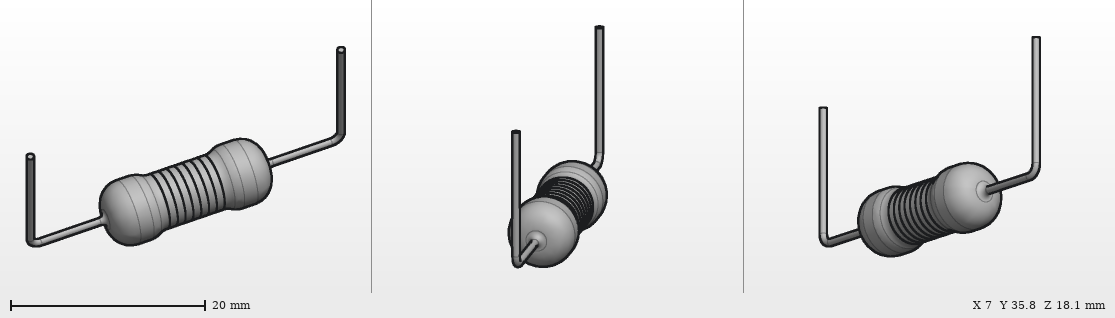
import cadquery as cq
import math

BODY_LENGTH = 18.0
CAP_DIAMETER = 7.0
CORE_DIAMETER = 5.95
CAP_END_RADIUS = 2.4
CAP_BAND_LENGTH = 1.5
SHOULDER_RADIUS = 1.9

BAND_DIAMETER = 5.97
BAND_COUNT = 4
BAND_WIDTH = 0.88
BAND_PITCH = 2 * BAND_WIDTH

LEAD_DIAMETER = 0.8
LEAD_SPAN = 35.0
LEAD_TOP = 14.6
LEAD_BEND_RADIUS = 1.15

CAP_RADIUS = CAP_DIAMETER / 2
CORE_RADIUS = CORE_DIAMETER / 2
LEAD_RADIUS = LEAD_DIAMETER / 2
BODY_END = BODY_LENGTH / 2
CAP_OUTER_EDGE = BODY_END - CAP_END_RADIUS
CAP_INNER_EDGE = CAP_OUTER_EDGE - CAP_BAND_LENGTH
LEAD_FILLET_RADIUS = CAP_RADIUS - CAP_END_RADIUS - LEAD_RADIUS
LEAD_EDGE = BODY_END + LEAD_FILLET_RADIUS

HALF_STEP = (CAP_RADIUS - CORE_RADIUS) / 2
SHOULDER_ANGLE = math.acos(1 - HALF_STEP / SHOULDER_RADIUS)
SHOULDER_HALF_LENGTH = SHOULDER_RADIUS * math.sin(SHOULDER_ANGLE)
SHOULDER_MIDDLE = CAP_INNER_EDGE - SHOULDER_HALF_LENGTH
CORE_END = SHOULDER_MIDDLE - SHOULDER_HALF_LENGTH


def make_cap():
    """Revolved +Y cap: shoulder, rounded end and the fillet onto its lead."""
    profile = (
        cq.Workplane("XY")
        .moveTo(0, CORE_END)
        .lineTo(CORE_RADIUS, CORE_END)
        .radiusArc((CORE_RADIUS + HALF_STEP, SHOULDER_MIDDLE), SHOULDER_RADIUS)
        .radiusArc((CAP_RADIUS, CAP_INNER_EDGE), -SHOULDER_RADIUS)
        .lineTo(CAP_RADIUS, CAP_OUTER_EDGE)
        .radiusArc((CAP_RADIUS - CAP_END_RADIUS, BODY_END), -CAP_END_RADIUS)
        .radiusArc((LEAD_RADIUS, LEAD_EDGE), LEAD_FILLET_RADIUS)
        .lineTo(0, LEAD_EDGE)
        .close()
    )
    return profile.revolve(360, (0, 0, 0), (0, 1, 0))


def make_core():
    """Slim cylinder joining the two caps."""
    start = cq.Workplane("XZ", origin=(0, CORE_END, 0))
    return start.circle(CORE_RADIUS).extrude(2 * CORE_END)


def make_band(center_y):
    """Slightly raised colour band around the core."""
    start = cq.Workplane("XZ", origin=(0, center_y + BAND_WIDTH / 2, 0))
    return start.circle(BAND_DIAMETER / 2).extrude(BAND_WIDTH)


def make_lead():
    """Wire leaving the +Y end of the body and bending up to +Z."""
    lead_y = LEAD_SPAN / 2
    path = (
        cq.Workplane("YZ")
        .moveTo(BODY_END, 0)
        .lineTo(lead_y - LEAD_BEND_RADIUS, 0)
        .radiusArc((lead_y, LEAD_BEND_RADIUS), -LEAD_BEND_RADIUS)
        .lineTo(lead_y, LEAD_TOP)
    )
    return cq.Workplane("XZ", origin=(0, BODY_END, 0)).circle(LEAD_RADIUS).sweep(path)


end = make_cap().union(make_lead())
result = make_core().union(end).union(end.mirror("XZ"))
for index in range(BAND_COUNT):
    band_y = (index - (BAND_COUNT - 1) / 2) * BAND_PITCH
    result = result.union(make_band(band_y))